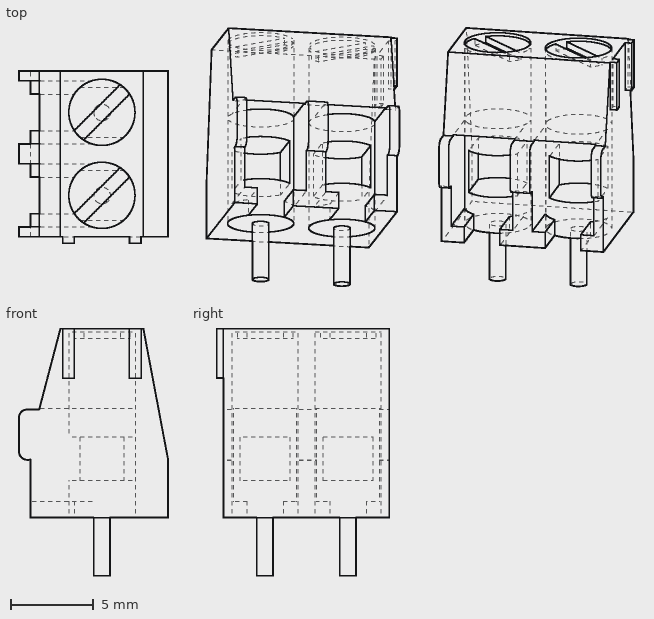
import cadquery as cq

POLE_COUNT = 2
POLE_PITCH = 4.999
HOUSING_LENGTH = POLE_COUNT * POLE_PITCH
POLE_POSITIONS = [(i - (POLE_COUNT - 1) / 2) * POLE_PITCH for i in range(POLE_COUNT)]
PIN_LENGTH = 3.5
HOUSING_HEIGHT = 14.9 - PIN_LENGTH

BACK_X = 4.0
LIP_X = BACK_X - 9.0
FRONT_X = LIP_X + 0.7
SLOPE_FOOT_X = LIP_X + 1.22
TOP_HALF_DEPTH = 2.5
SHOULDER_Z = 3.5
LIP_TOP_Z = 6.53
LIP_RADIUS = 0.5

ENTRY_WIDTH = 3.8
ENTRY_TOP_Z = 6.6
FOOT_HEIGHT = 1.0
FOOT_GAP = 2.2

RIB_WIDTH = 0.7
RIB_PROTRUSION = 0.4
RIB_HEIGHT = 3.0
RIB_OFFSET = 2.01

BORE_DIAMETER = 4.0
PIN_DIAMETER = 1.0
WINDOW_WIDTH = 3.0
WINDOW_BOTTOM_Z = 2.25
WINDOW_HEIGHT = 2.64
SCREW_RECESS = 0.2
SCREW_SLOT_WIDTH = 0.8
SCREW_SLOT_DEPTH = 0.4
SCREW_SLOT_ANGLE = 45


def block(x_min, x_max, width, z_min, z_max):
    """Box centred on Y = 0 between the given X and Z limits."""
    return (
        cq.Workplane("XY")
        .box(x_max - x_min, width, z_max - z_min, centered=(False, True, False))
        .translate((x_min, 0, z_min))
    )


def make_housing_body():
    """Extruded side profile with rounded lips."""
    lip_bottom_z = SHOULDER_Z + LIP_RADIUS
    return (
        cq.Workplane("XZ")
        .moveTo(FRONT_X, 0)
        .lineTo(BACK_X, 0)
        .lineTo(BACK_X, SHOULDER_Z)
        .lineTo(TOP_HALF_DEPTH, HOUSING_HEIGHT)
        .lineTo(-TOP_HALF_DEPTH, HOUSING_HEIGHT)
        .lineTo(SLOPE_FOOT_X, LIP_TOP_Z)
        .lineTo(LIP_X + LIP_RADIUS, LIP_TOP_Z)
        .tangentArcPoint((LIP_X, LIP_TOP_Z - LIP_RADIUS), relative=False)
        .lineTo(LIP_X, lip_bottom_z)
        .tangentArcPoint((FRONT_X, SHOULDER_Z), relative=False)
        .close()
        .extrude(HOUSING_LENGTH / 2, both=True)
    )


def make_ribs():
    """Two upright ribs at the top of the -Y end face."""
    return (
        cq.Workplane("XY")
        .pushPoints([(-RIB_OFFSET, 0), (RIB_OFFSET, 0)])
        .box(RIB_WIDTH, RIB_PROTRUSION, RIB_HEIGHT, centered=(True, False, False))
        .translate((0, -HOUSING_LENGTH / 2 - RIB_PROTRUSION, HOUSING_HEIGHT - RIB_HEIGHT))
    )


def make_pole_cavity():
    """Vertical bore with a wire entry, narrowed between the feet, open to the front."""
    bore = cq.Workplane("XY").circle(BORE_DIAMETER / 2).extrude(HOUSING_HEIGHT)
    entry = block(LIP_X, 0, ENTRY_WIDTH, FOOT_HEIGHT, ENTRY_TOP_Z)
    foot_gap = block(LIP_X, 0, FOOT_GAP, 0, FOOT_HEIGHT)
    return bore.union(entry).union(foot_gap)


def make_housing():
    housing = make_housing_body().union(make_ribs())
    for y in POLE_POSITIONS:
        housing = housing.cut(make_pole_cavity().translate((0, y, 0)))
    return housing


def make_clamp():
    """Round clamp with a wire window through it and a solder pin below."""
    barrel = cq.Workplane("XY").circle(BORE_DIAMETER / 2).extrude(ENTRY_TOP_Z)
    window = block(
        -BORE_DIAMETER / 2,
        BORE_DIAMETER / 2,
        WINDOW_WIDTH,
        WINDOW_BOTTOM_Z,
        WINDOW_BOTTOM_Z + WINDOW_HEIGHT,
    )
    pin = cq.Workplane("XY").circle(PIN_DIAMETER / 2).extrude(-PIN_LENGTH)
    return barrel.cut(window).union(pin)


def make_screw():
    """Slotted screw resting on the clamp, its head just below the housing top."""
    head_z = HOUSING_HEIGHT - SCREW_RECESS
    shank = (
        cq.Workplane("XY", origin=(0, 0, ENTRY_TOP_Z))
        .circle(BORE_DIAMETER / 2)
        .extrude(head_z - ENTRY_TOP_Z)
    )
    slot = block(
        -BORE_DIAMETER / 2, BORE_DIAMETER / 2, SCREW_SLOT_WIDTH, head_z - SCREW_SLOT_DEPTH, head_z
    ).rotate((0, 0, 0), (0, 0, 1), SCREW_SLOT_ANGLE)
    return shank.cut(slot)


housing = make_housing()
clamps = [make_clamp().translate((0, y, 0)) for y in POLE_POSITIONS]
screws = [make_screw().translate((0, y, 0)) for y in POLE_POSITIONS]

result = cq.Compound.makeCompound(
    [housing.val()] + [clamp.val() for clamp in clamps] + [screw.val() for screw in screws]
)